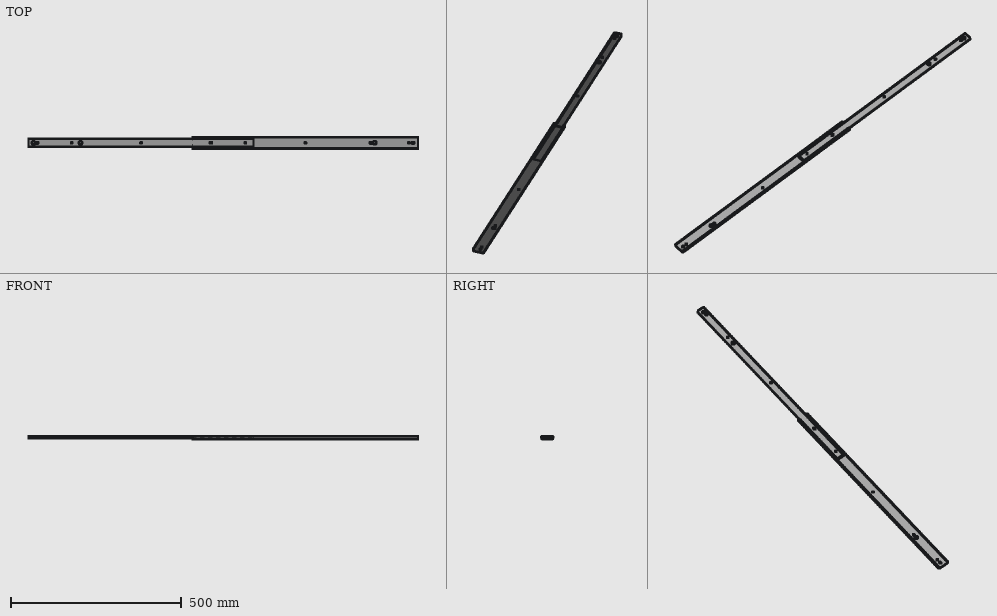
import cadquery as cq
import math


total_length = 1140.4
total_width = 35.3
total_height = 9.6
sheet = 1.5

outer_length = 660.0
outer_start = total_length - outer_length
inner_length = 658.0

flange_radius = 5.6
flange_inner_radius = flange_radius - sheet
raceway_z = flange_radius
raceway_y = total_width / 2 - flange_radius
lip_sine = (total_height - raceway_z) / flange_radius
lip_cosine = math.sqrt(1 - lip_sine**2)

inner_top = total_height
inner_half_width = 12.0
inner_underside = inner_top - sheet
shoulder_radius = 1.8
shoulder_inner_radius = shoulder_radius - sheet
flare_radius = 2.3
flare_inner_radius = flare_radius - sheet
waist_y = inner_half_width - flare_inner_radius
shoulder_y = waist_y - shoulder_radius
shoulder_z = inner_top - shoulder_radius
flare_z = 4.7

cage_sheet = 0.5
cage_clearance = 0.2
cage_bottom = sheet + cage_clearance
cage_wall_y = 12.7
cage_top = 8.0

mounting_hole = 9.3
screw_hole = 4.0
slot_length = 7.5
slot_width = 4.0
inner_mounting_holes = [15.0, 152.5]
inner_screw_holes = [127.0, 330.0, 635.0]
inner_slots = [25.0, 534.0]
outer_mounting_holes = [533.0]
outer_screw_holes = [330.0, 632.5]
outer_slots = [522.5, 645.0]


def arc_middle(center_y, center_z, radius, side_y, side_z):
    """Point on a quarter arc midway between its axis-aligned ends, toward the given signs."""
    offset = radius * math.sin(math.pi / 4)
    return center_y + side_y * offset, center_z + side_z * offset


def raceway_point(radius, cosine, sine):
    """Point of the outer rail flange in the direction (cosine, sine) from the raceway centre."""
    return raceway_y + radius * cosine, raceway_z + radius * sine


def extrude_half_section(half_section, start, length):
    """Extrude a closed +Y half section along X and mirror it to the -Y side."""
    half = half_section.extrude(length)
    whole = half.union(half.mirror("XZ"))
    return whole.translate((start, 0, 0))


def cut_holes(rail, start, mounting_holes, screw_holes, slots):
    """Cut holes through a rail web at distances from the -X end of the rail."""
    cutters = [
        ([(start + x, 0) for x in mounting_holes], mounting_hole),
        ([(start + x, 0) for x in screw_holes], screw_hole),
    ]
    for points, diameter in cutters:
        rail = rail.cut(cq.Workplane("XY").pushPoints(points).circle(diameter / 2).extrude(total_height))
    slot_points = [(start + x, 0) for x in slots]
    return rail.cut(
        cq.Workplane("XY").pushPoints(slot_points).slot2D(slot_length, slot_width).extrude(total_height)
    )


def build_outer_rail():
    lip_outside = raceway_point(flange_radius, lip_cosine, lip_sine)
    lip_inside = raceway_point(flange_inner_radius, lip_cosine, lip_sine)
    section = (
        cq.Workplane("YZ")
        .lineTo(raceway_y, 0)
        .threePointArc(raceway_point(flange_radius, 1, 0), lip_outside)
        .lineTo(*lip_inside)
        .threePointArc(raceway_point(flange_inner_radius, 1, 0), (raceway_y, sheet))
        .lineTo(0, sheet)
        .close()
    )
    rail = extrude_half_section(section, outer_start, outer_length)
    return cut_holes(rail, outer_start, outer_mounting_holes, outer_screw_holes, outer_slots)


def build_inner_rail():
    section = (
        cq.Workplane("YZ")
        .moveTo(0, inner_top)
        .lineTo(shoulder_y, inner_top)
        .threePointArc(
            arc_middle(shoulder_y, shoulder_z, shoulder_radius, 1, 1), (waist_y, shoulder_z)
        )
        .lineTo(waist_y, flare_z)
        .threePointArc(
            arc_middle(inner_half_width, flare_z, flare_inner_radius, -1, -1),
            (inner_half_width, flare_z - flare_inner_radius),
        )
        .lineTo(inner_half_width, flare_z - flare_radius)
        .threePointArc(
            arc_middle(inner_half_width, flare_z, flare_radius, -1, -1),
            (waist_y - sheet, flare_z),
        )
        .lineTo(waist_y - sheet, shoulder_z)
        .threePointArc(
            arc_middle(shoulder_y, shoulder_z, shoulder_inner_radius, 1, 1), (shoulder_y, inner_underside)
        )
        .lineTo(0, inner_underside)
        .close()
    )
    rail = extrude_half_section(section, 0, inner_length)
    return cut_holes(rail, 0, inner_mounting_holes, inner_screw_holes, inner_slots)


def build_ball_cage():
    wall_inside = cage_wall_y - cage_sheet
    cage_floor = cage_bottom + cage_sheet
    section = cq.Workplane("YZ").polyline([
        (0, cage_bottom),
        (cage_wall_y, cage_bottom),
        (cage_wall_y, cage_top),
        (wall_inside, cage_top),
        (wall_inside, cage_floor),
        (0, cage_floor),
    ]).close()
    return extrude_half_section(section, outer_start, inner_length - outer_start)


outer_rail = build_outer_rail()
inner_rail = build_inner_rail()
ball_cage = build_ball_cage()

result = cq.Compound.makeCompound([
    outer_rail.solids().val(),
    inner_rail.solids().val(),
    ball_cage.solids().val(),
])